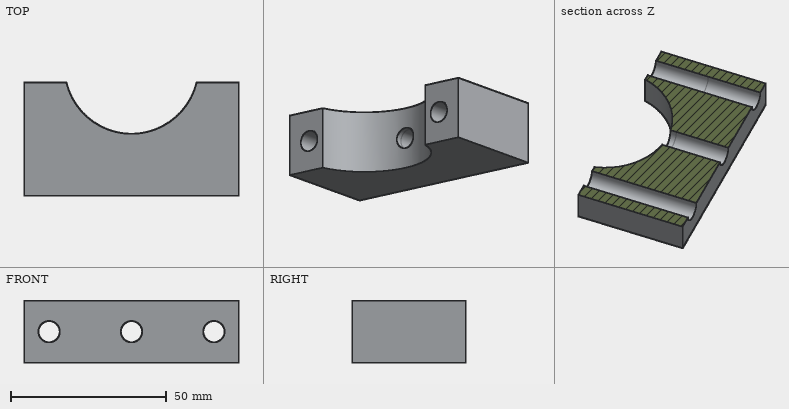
import cadquery as cq

length = 69.0
depth = 36.5
height = 20.0

saddle_radius = 21.5
saddle_axis_offset = 5.0
saddle_axis_y = depth / 2 + saddle_axis_offset

hole_diameter = 6.78
hole_spacing = 26.5
hole_count = 3


def make_block():
    """Plain block centred on the origin."""
    return cq.Workplane("XY").box(length, depth, height)


def cut_saddle(body):
    """Cut the vertical cylindrical saddle through the full height."""
    saddle = (
        cq.Workplane("XY")
        .center(0, saddle_axis_y)
        .circle(saddle_radius)
        .extrude(height / 2, both=True)
    )
    return body.cut(saddle)


def cut_bolt_holes(body):
    """Drill the row of holes through the full depth."""
    holes = (
        cq.Workplane("XZ")
        .rarray(hole_spacing, 1, hole_count, 1)
        .circle(hole_diameter / 2)
        .extrude(depth / 2, both=True)
    )
    return body.cut(holes)


result = cut_bolt_holes(cut_saddle(make_block()))